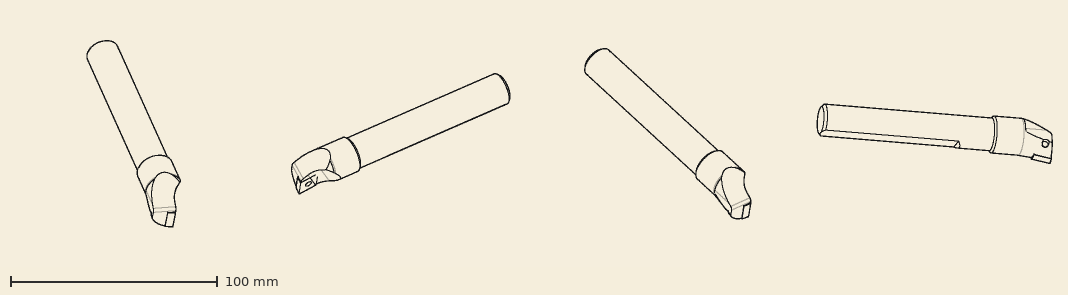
import cadquery as cq
import math

total_length = 115.0
total_height = 21.4
shank_radius = 16.0 / 2
shank_end_chamfer = 1.4
shank_flat_depth = 6.4
shank_flat_length = 67.8
collar_radius = 18.0 / 2
collar_start = 85.0
collar_end = 99.5
top_slope_start = 98.2
top_slope_angle = 31.0

head_roll = 9.2
tip_drop = total_height - collar_radius
head_tip_radius = 10.9
head_tip_offset = 0.9
side_flat_start = 100.3
tip_round_radius = 2.1
gullet_start = 97.2
gullet_angle = 40.0
gullet_lean = 24.0
gullet_radius = 10.4

insert_circle = 9.5
insert_corner_angle = 80.0
insert_thickness = 3.9
insert_nose_radius = 0.4
insert_end_lean = 0.5
clearance_angle = 7.0
insert_overhang = 0.2
screw_radius = 1.6
screw_recess = 2.3

margin = 23.0

roll = math.radians(head_roll)
rake_y = tip_drop * math.sin(roll)
tip_z = -tip_drop * math.cos(roll)
lean = math.radians(insert_end_lean)
clearance = math.radians(clearance_angle)
half_corner = math.radians(insert_corner_angle / 2)
insert_side = insert_circle / math.sin(2 * half_corner)

bisector_angle = math.pi / 2 + lean + half_corner
bisector = cq.Vector(math.cos(bisector_angle), math.sin(bisector_angle))
nose_center = cq.Vector(total_length - insert_nose_radius, tip_z + insert_nose_radius)
corner = nose_center - bisector * (insert_nose_radius / math.sin(half_corner))
insert_center = corner + bisector * (insert_side * math.cos(half_corner))


def rolled(body):
    """Roll a body from the head frame into place."""
    return body.rotate((0, 0, 0), (1, 0, 0), -head_roll)


def rake_plane():
    """Plane of the rake face: local X along the bar, local Y up, normal into the holder."""
    return cq.Workplane("XZ", origin=(0, rake_y, 0))


def make_bar():
    """Turned shank and collar with the flat under the shank."""
    step = collar_radius - shank_radius
    bar = (
        cq.Workplane("XZ")
        .moveTo(0, 0)
        .lineTo(0, shank_radius - shank_end_chamfer)
        .lineTo(shank_end_chamfer, shank_radius)
        .lineTo(collar_start, shank_radius)
        .lineTo(collar_start + step, collar_radius)
        .lineTo(collar_end, collar_radius)
        .lineTo(collar_end, 0)
        .close()
        .revolve(360, (0, 0, 0), (1, 0, 0))
    )
    under_flat = (
        cq.Workplane("XZ")
        .moveTo(0, -shank_flat_depth)
        .lineTo(shank_flat_length, -shank_flat_depth)
        .lineTo(shank_flat_length + margin, -shank_flat_depth - margin)
        .lineTo(0, -shank_flat_depth - margin)
        .close()
        .extrude(margin, both=True)
    )
    return bar.cut(under_flat)


def make_head():
    """Cone that spreads towards the tip, trimmed to a round top and a flat side."""
    cone = (
        cq.Workplane("YZ", origin=(collar_end, 0, 0))
        .circle(collar_radius)
        .workplane(offset=total_length - collar_end)
        .center(0, -head_tip_offset)
        .circle(head_tip_radius)
        .loft(ruled=True)
    )
    trim = (
        cq.Workplane("YZ", origin=(side_flat_start, 0, 0))
        .moveTo(-collar_radius, 0)
        .threePointArc((0, collar_radius), (collar_radius, 0))
        .lineTo(collar_radius, -margin)
        .lineTo(-collar_radius, -margin)
        .close()
        .extrude(margin)
    )
    root = cq.Workplane("YZ", origin=(collar_end, 0, 0)).rect(2 * margin, 2 * margin)
    root = root.extrude(side_flat_start - collar_end)
    return rolled(cone.intersect(root.union(trim)))


def sloping_top():
    """Everything above the slope that falls from the collar to the tip."""
    reach = total_length + margin - top_slope_start
    return (
        cq.Workplane("XZ", origin=(top_slope_start, 0, collar_radius))
        .moveTo(0, 0)
        .lineTo(reach, -reach * math.tan(math.radians(top_slope_angle)))
        .lineTo(reach, margin)
        .lineTo(0, margin)
        .close()
        .extrude(margin, both=True)
    )


def gullet():
    """Chip space beside the rake face, running out sideways through the collar."""
    slope = math.radians(gullet_angle)
    meeting_x = gullet_start + (collar_radius - rake_y) / math.tan(slope)
    tangent_length = gullet_radius * math.tan(slope / 2)
    arc_start = (
        meeting_x - tangent_length * math.cos(slope),
        rake_y + tangent_length * math.sin(slope),
    )
    arc_end = (meeting_x + tangent_length, rake_y)
    run_out_x = gullet_start - margin / math.tan(slope)
    body = (
        cq.Workplane("XY", origin=(0, 0, -2 * margin))
        .moveTo(run_out_x, collar_radius + margin)
        .lineTo(*arc_start)
        .tangentArcPoint(arc_end, relative=False)
        .lineTo(total_length + margin, rake_y)
        .lineTo(total_length + margin, collar_radius + margin)
        .close()
        .extrude(4 * margin)
    )
    pivot = (gullet_start, 0, 0)
    return rolled(body.rotate(pivot, (gullet_start, 1, 0), gullet_lean))


def end_relief():
    """Everything beyond the end of the holder, which keeps the clearance of the insert."""
    plane = cq.Plane(
        origin=(corner.x - insert_overhang, rake_y, corner.y),
        xDir=(math.tan(clearance), 1, 0),
        normal=(1, -math.tan(clearance), math.tan(lean)),
    )
    return rolled(cq.Workplane(plane).rect(3 * margin, 3 * margin).extrude(margin))


def insert_blank():
    """Rhombic insert with rounded corners and flanks that lean in from the rake face."""
    side_angles = (bisector_angle - half_corner, bisector_angle + half_corner)
    end_side, lower_side = (
        cq.Vector(math.cos(angle), math.sin(angle)) * insert_side for angle in side_angles
    )
    corners = (corner, corner + end_side, corner + end_side + lower_side, corner + lower_side, corner)
    outline = cq.Sketch().polygon([(point.x, point.y) for point in corners])
    outline = outline.vertices().fillet(insert_nose_radius)
    blank = rake_plane().placeSketch(outline).extrude(insert_thickness, taper=clearance_angle)
    return rolled(blank)


def screw_bore(length):
    """Round body along the screw axis, from the rake face into the holder."""
    axis_start = rake_plane().center(insert_center.x, insert_center.y)
    return rolled(axis_start.circle(screw_radius).extrude(length))


def make_holder():
    """Bar and head with its cut faces, the insert pocket and the screw hole."""
    holder = make_bar().union(make_head()).cut(sloping_top()).cut(end_relief())
    slope_drop = (total_length - top_slope_start) * math.tan(math.radians(top_slope_angle))
    slope_foot = (total_length, 0, collar_radius - slope_drop)
    tip_edge = cq.selectors.NearestToPointSelector(slope_foot)
    holder = holder.edges(tip_edge).fillet(tip_round_radius).cut(gullet())
    return holder.cut(insert_blank()).cut(screw_bore(rake_y + collar_radius + margin))


holder = make_holder()
screw = screw_bore(rake_y + collar_radius - screw_recess)
insert = insert_blank().cut(screw)

result = cq.Compound.makeCompound([holder.val(), insert.val(), screw.val()])